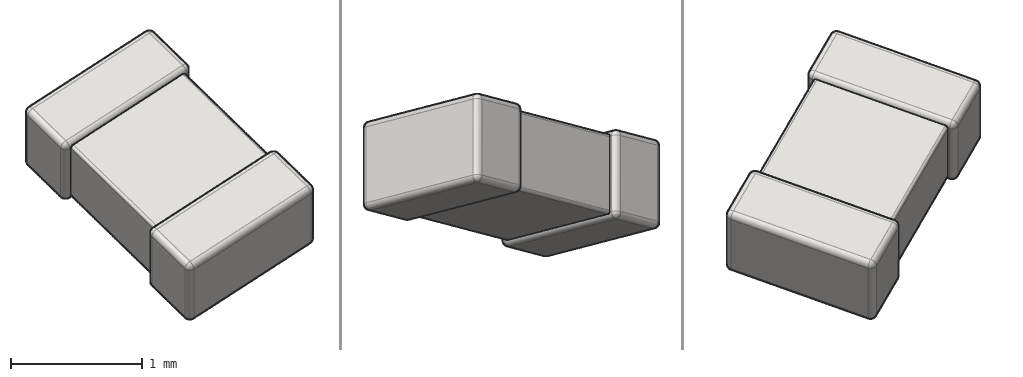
import cadquery as cq

length = 2.0
width = 1.25
height = 0.7

terminal_length = length / 4
terminal_fillet = 0.05

body_ratio = 0.9
body_width = width * body_ratio
body_height = height * body_ratio
body_fillet = 0.025


def make_body():
    """Bar between the terminals, rounded along its length and ending inside them."""
    body_length = length - terminal_length
    body = cq.Workplane("XY").box(body_length, body_width, body_height)
    return body.edges("|X").fillet(body_fillet)


def make_terminal(side):
    """Fully rounded end cap; side is -1 or +1 along X."""
    center_x = side * (length - terminal_length) / 2
    terminal = cq.Workplane("XY").box(terminal_length, width, height)
    return terminal.edges().fillet(terminal_fillet).translate((center_x, 0, 0))


result = make_body()
for side in (-1, 1):
    result = result.union(make_terminal(side))